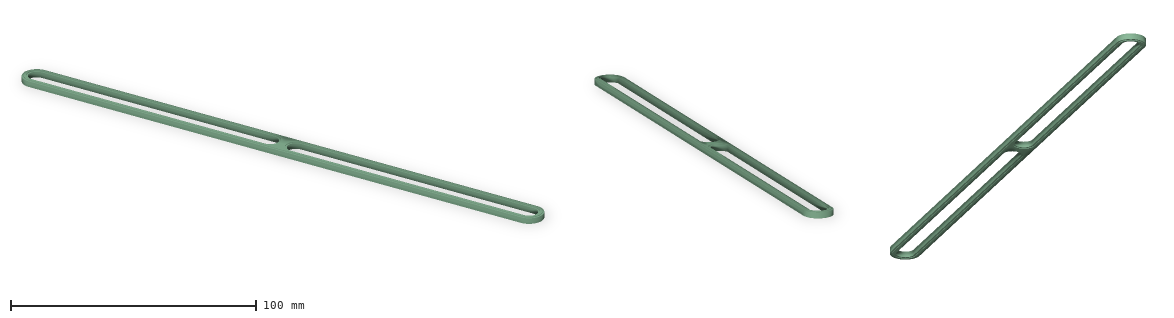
import cadquery as cq

length = 250.0
width = 12.5

rail_width = 2.5

waist_width = 5.0

core_height = 2.5
land_height = 0.28
land_inset = 0.8
height = core_height + 2 * land_height

opening_width = width - 2 * rail_width
opening_length = (length - waist_width) / 2 - rail_width
opening_x = (waist_width + opening_length) / 2


def make_frame(layer_height, inset):
    """Round-ended frame centred on the origin, with every wall set back by the inset."""
    plate = cq.Workplane("XY").slot2D(length - 2 * inset, width - 2 * inset)
    openings = (
        cq.Workplane("XY")
        .pushPoints([(-opening_x, 0), (opening_x, 0)])
        .slot2D(opening_length + 2 * inset, opening_width + 2 * inset)
    )
    half_height = layer_height / 2
    return plate.extrude(half_height, both=True).cut(openings.extrude(half_height, both=True))


core = make_frame(core_height, 0)
lands = make_frame(height, land_inset)
result = core.union(lands)